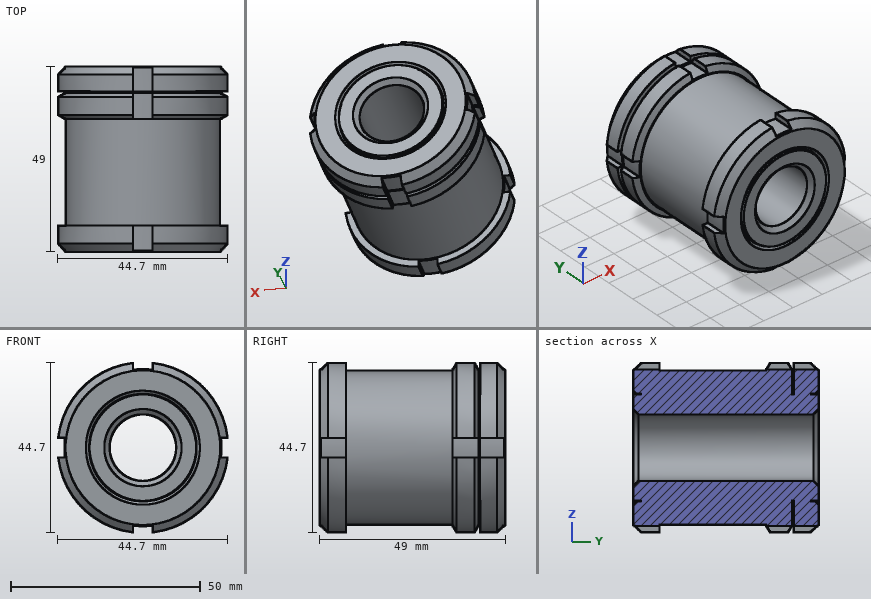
import cadquery as cq
import math

length = 49.0
collar_radius = 22.52
body_radius = 40.8 / 2
sleeve_radius = 28.1 / 2
bore_radius = 17.5 / 2
bore_chamfer = 1.45

front_collar_end = 7.0
middle_collar_start = 35.05
middle_collar_end = 42.0
lock_nut_start = 42.35

end_bevel_length = 2.2
flat_bevel_angle = math.radians(30)
flat_bevel_radius = 20.6
flat_bevel_length = (collar_radius - flat_bevel_radius) * math.tan(flat_bevel_angle)

groove_radius = 28.38 / 2
groove_mouth_radius = 30.1 / 2
groove_bevel = groove_mouth_radius - groove_radius
groove_depth = 2.0

slot_width = 5.15
slot_floor_radius = 20.75
slot_count = 4


def revolve_about_y(points):
    """Turn a closed (radius, Y) outline about the Y axis."""
    return cq.Workplane("XY").polyline(points).close().revolve(360, (0, 0, 0), (0, 1, 0))


def turned_body():
    """Front collar, plain body, middle collar, neck and rear lock nut in one outline."""
    return revolve_about_y([
        (0, 0),
        (body_radius, 0),
        (collar_radius, end_bevel_length),
        (collar_radius, front_collar_end),
        (body_radius, front_collar_end),
        (body_radius, middle_collar_start),
        (flat_bevel_radius, middle_collar_start),
        (collar_radius, middle_collar_start + flat_bevel_length),
        (collar_radius, middle_collar_end - flat_bevel_length),
        (flat_bevel_radius, middle_collar_end),
        (sleeve_radius, middle_collar_end),
        (sleeve_radius, lock_nut_start),
        (collar_radius, lock_nut_start),
        (collar_radius, length - end_bevel_length),
        (body_radius, length),
        (0, length),
    ])


def bore():
    """Through bore with a bevelled mouth at both ends."""
    mouth_radius = bore_radius + bore_chamfer
    return revolve_about_y([
        (0, 0),
        (mouth_radius, 0),
        (bore_radius, bore_chamfer),
        (bore_radius, length - bore_chamfer),
        (mouth_radius, length),
        (0, length),
    ])


def front_groove():
    """Ring groove around the sleeve on the front face, with a bevelled outer edge."""
    return revolve_about_y([
        (sleeve_radius, 0),
        (groove_mouth_radius, 0),
        (groove_radius, groove_bevel),
        (groove_radius, groove_depth),
        (sleeve_radius, groove_depth),
    ])


def rear_groove():
    """Mirror image of the front groove on the rear face."""
    return front_groove().mirror("XZ").translate((0, length, 0))


def spanner_slot(angle):
    """Block along the full length at one angle, with a floor curved about the Y axis."""
    block = cq.Workplane("XY").box(slot_width, length, collar_radius, centered=(True, False, False))
    core = cq.Workplane("XZ").circle(slot_floor_radius).extrude(-length)
    raised_block = block.translate((0, 0, body_radius / 2))
    return raised_block.cut(core).rotate((0, 0, 0), (0, 1, 0), angle)


result = turned_body().cut(bore()).cut(front_groove()).cut(rear_groove())
for index in range(slot_count):
    result = result.cut(spanner_slot(index * 360 / slot_count))